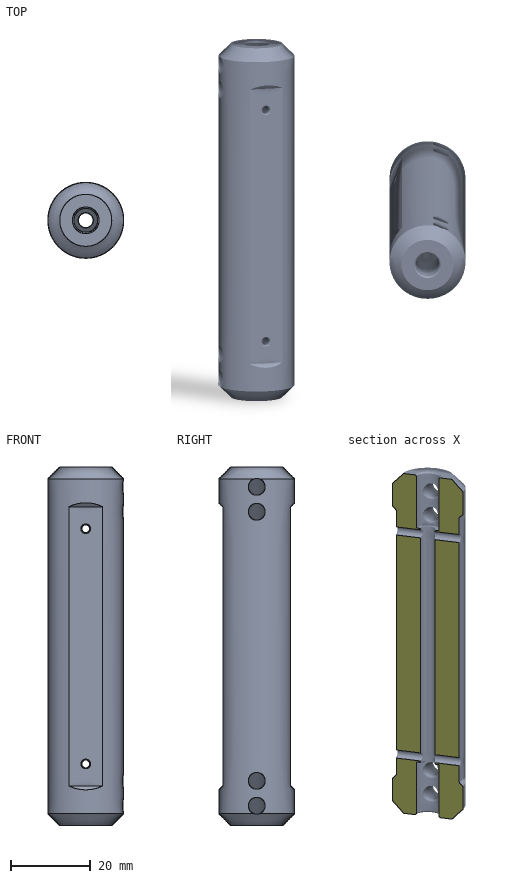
import cadquery as cq

BAR_DIAMETER = 19.05
BAR_LENGTH = 90.0
END_CHAMFER = 3.0

FLAT_LENGTH = 70.0
FLAT_DEPTH = 1.0

CROSS_HOLE_DIAMETER = 2.0
CROSS_HOLE_SPACING = 59.0
CROSS_HOLE_CHAMFER = 0.2

THROUGH_BORE_DIAMETER = 3.7
END_BORE_DIAMETER = 6.0
END_BORE_DEPTH = 14.0
END_BORE_CHAMFER = 0.35

SIDE_HOLE_DIAMETER = 4.2
SIDE_HOLE_END_DISTANCES = (5.0, 11.25)

BAR_RADIUS = BAR_DIAMETER / 2
HALF_LENGTH = BAR_LENGTH / 2
FLAT_OFFSET = BAR_RADIUS - FLAT_DEPTH


def make_bar():
    """Solid round bar with chamfered ends."""
    bar = cq.Workplane("XY").workplane(offset=-HALF_LENGTH).circle(BAR_RADIUS).extrude(BAR_LENGTH)
    return bar.edges("%CIRCLE").chamfer(END_CHAMFER)


def make_flat_cutter(side):
    """Trapezoidal prism across X that mills the flat on one side (-1 or +1 in Y)."""
    flat_end = FLAT_LENGTH / 2
    rim_end = flat_end + FLAT_DEPTH
    outline = [
        (side * FLAT_OFFSET, -flat_end),
        (side * BAR_RADIUS, -rim_end),
        (side * BAR_RADIUS, rim_end),
        (side * FLAT_OFFSET, flat_end),
    ]
    return cq.Workplane("YZ").polyline(outline).close().extrude(BAR_RADIUS, both=True)


def make_drill(diameter, mouth, direction, depth):
    """Cylinder from a mouth point along a direction."""
    return cq.Workplane(cq.Solid.makeCylinder(diameter / 2, depth, cq.Vector(*mouth), cq.Vector(*direction)))


def make_chamfered_drill(diameter, mouth, direction, depth, chamfer):
    """Drill with a 45 degree chamfer cone at its mouth."""
    radius = diameter / 2
    cone = cq.Solid.makeCone(radius + chamfer, radius, chamfer, cq.Vector(*mouth), cq.Vector(*direction))
    return make_drill(diameter, mouth, direction, depth).union(cq.Workplane(cone))


def cut_flats(body):
    """One flat on the -Y side and one on the +Y side."""
    for side in (-1, 1):
        body = body.cut(make_flat_cutter(side))
    return body


def cut_cross_holes(body):
    """Each cross hole is drilled to the axis from both flats."""
    for end in (-1, 1):
        for side in (-1, 1):
            mouth = (0, side * FLAT_OFFSET, end * CROSS_HOLE_SPACING / 2)
            inward = (0, -side, 0)
            drill = make_chamfered_drill(
                CROSS_HOLE_DIAMETER, mouth, inward, FLAT_OFFSET, CROSS_HOLE_CHAMFER
            )
            body = body.cut(drill)
    return body


def cut_axial_bore(body):
    """Through bore along Z with a wider, chamfered bore at each end."""
    body = body.cut(make_drill(THROUGH_BORE_DIAMETER, (0, 0, -HALF_LENGTH), (0, 0, 1), BAR_LENGTH))
    for end in (-1, 1):
        mouth = (0, 0, end * HALF_LENGTH)
        inward = (0, 0, -end)
        drill = make_chamfered_drill(
            END_BORE_DIAMETER, mouth, inward, END_BORE_DEPTH, END_BORE_CHAMFER
        )
        body = body.cut(drill)
    return body


def cut_side_holes(body):
    """Each side hole runs from the +X side to the axis, where it opens into the end bore."""
    for end in (-1, 1):
        for distance in SIDE_HOLE_END_DISTANCES:
            mouth = (BAR_RADIUS, 0, end * (HALF_LENGTH - distance))
            body = body.cut(make_drill(SIDE_HOLE_DIAMETER, mouth, (-1, 0, 0), BAR_RADIUS))
    return body


result = make_bar()
result = cut_flats(result)
result = cut_cross_holes(result)
result = cut_axial_bore(result)
result = cut_side_holes(result)